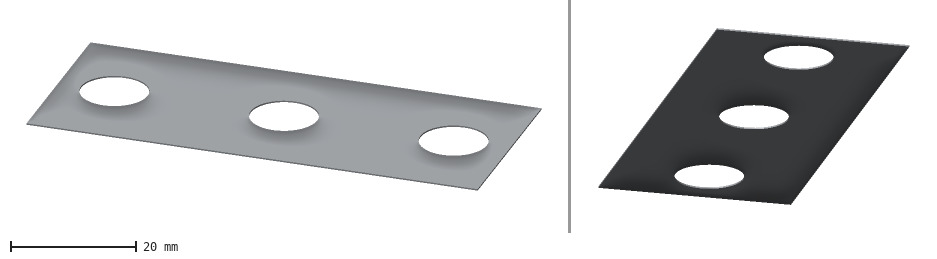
import cadquery as cq

length = 76.2
width = 31.8
thickness = 0.25

hole_diameter = 11.2
hole_count = 3
hole_spacing = 28.65

plate = cq.Workplane("XY").box(length, width, thickness)

result = (
    plate.faces(">Z")
    .workplane()
    .rarray(hole_spacing, 0.8, hole_count, 1)
    .hole(hole_diameter)
)